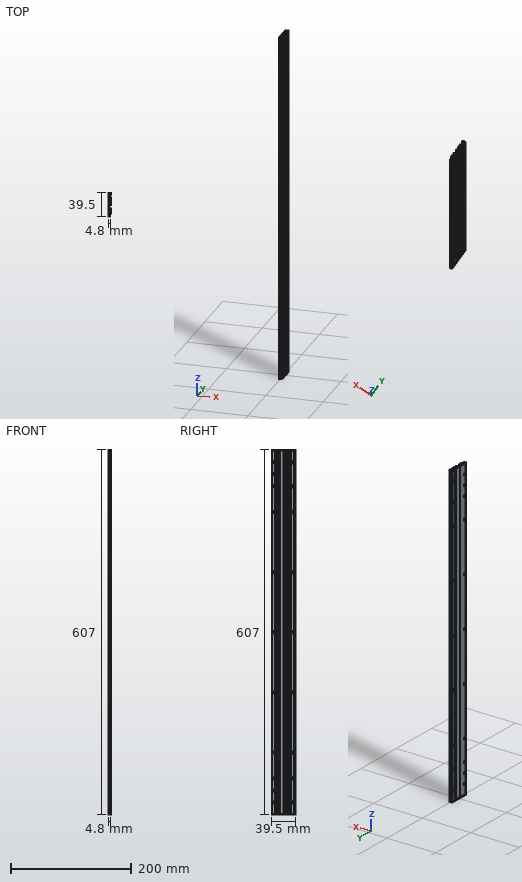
import cadquery as cq

length = 607.0
width = 39.5
thickness = 4.8
web = 3.2

edge_lip = 2.75
screw_groove = 5.0
slot_rib = 7.0
middle_groove = 3.7
channel_rib = 9.0
guide_groove = 3.5
guide_rib = 3.0

slot_mouth = 2.5
slot_base = 4.0
slot_floor = 0.9

channel_diameter = 6.0
channel_axis = 3.5

wide_hole = 3.4
narrow_hole = 3.0
wide_row = 4.0
narrow_row = 3.3
hole_pitch = 100.0
end_pitch = 20.0

slot_rib_start = edge_lip + screw_groove
channel_rib_start = slot_rib_start + slot_rib + middle_groove
guide_rib_start = channel_rib_start + channel_rib + guide_groove

slot_y = width / 2 - slot_rib_start - slot_rib / 2
channel_y = width / 2 - channel_rib_start - channel_rib / 2


def rib(start, across):
    """Full-length rib of full thickness, starting at a distance from the +Y edge."""
    return (
        cq.Workplane("XY", origin=(0, width / 2 - start - across, -length / 2))
        .box(thickness, across, length, centered=False)
    )


def slot_cutter():
    """Dovetail slot, open on the +X face of the slot rib."""
    return (
        cq.Workplane("XY", origin=(0, slot_y, -length / 2))
        .moveTo(slot_floor, -slot_base / 2)
        .lineTo(thickness, -slot_mouth / 2)
        .lineTo(thickness, slot_mouth / 2)
        .lineTo(slot_floor, slot_base / 2)
        .close()
        .extrude(length)
    )


def channel_cutter():
    """Round channel, open on the +X face of the channel rib."""
    return (
        cq.Workplane("XY", origin=(channel_axis, channel_y, -length / 2))
        .circle(channel_diameter / 2)
        .extrude(length)
    )


def near_ends(steps):
    """Heights that lie a number of end pitches in from both ends."""
    return [side * (length / 2 - step * end_pitch) for step in steps for side in (-1, 1)]


def hole_row(diameter, y, heights):
    """Through holes along X at one Y position."""
    points = [(y, z) for z in heights]
    return cq.Workplane("YZ").pushPoints(points).circle(diameter / 2).extrude(thickness)


strip = cq.Workplane("XY", origin=(0, -width / 2, -length / 2)).box(web, width, length, centered=False)
strip = strip.union(rib(0, edge_lip))
strip = strip.union(rib(slot_rib_start, slot_rib))
strip = strip.union(rib(channel_rib_start, channel_rib))
strip = strip.union(rib(guide_rib_start, guide_rib))

strip = strip.cut(slot_cutter())
strip = strip.cut(channel_cutter())

regular_heights = [step * hole_pitch for step in range(-2, 3)]
wide_heights = regular_heights + near_ends([1, 3])
narrow_heights = regular_heights + near_ends([1, 2, 3])
strip = strip.cut(hole_row(wide_hole, width / 2 - wide_row, wide_heights))
strip = strip.cut(hole_row(narrow_hole, narrow_row - width / 2, narrow_heights))

result = strip